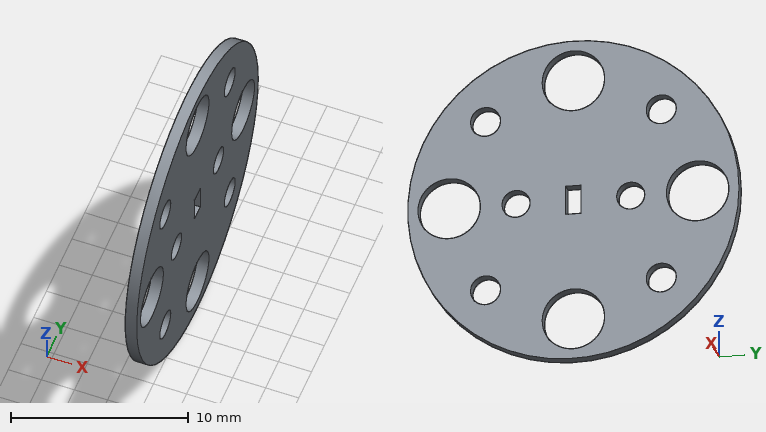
import cadquery as cq

disc_diameter = 19.05
thickness = 0.7

pitch_radius = 7.15
large_hole_diameter = 3.58
small_hole_diameter = 1.71
holes_per_set = 4
small_hole_start_angle = 180 / holes_per_set

inner_hole_spacing = 6.6
inner_hole_diameter = 1.6

slot_width = 0.88
slot_height = 1.68


def face_plane():
    """Sketch plane on the -X face: local x is Y, local y is Z."""
    return cq.Workplane("YZ", origin=(-thickness / 2, 0, 0))


def ring_of_holes(diameter, start_angle):
    """Cutters for one evenly spaced set of holes on the pitch circle."""
    return (
        face_plane()
        .polarArray(pitch_radius, start_angle, 360, holes_per_set)
        .circle(diameter / 2)
        .extrude(thickness)
    )


disc = face_plane().circle(disc_diameter / 2).extrude(thickness)

large_holes = ring_of_holes(large_hole_diameter, 0)
small_holes = ring_of_holes(small_hole_diameter, small_hole_start_angle)

inner_holes = (
    face_plane()
    .pushPoints([(side * inner_hole_spacing / 2, 0) for side in (-1, 1)])
    .circle(inner_hole_diameter / 2)
    .extrude(thickness)
)

slot = face_plane().rect(slot_width, slot_height).extrude(thickness)

result = disc.cut(large_holes).cut(small_holes).cut(inner_holes).cut(slot)